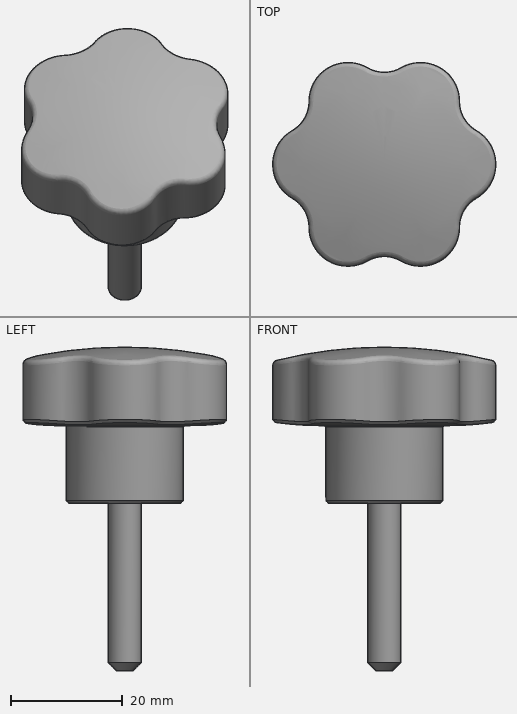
import cadquery as cq
import math

pin_diameter = 6.0
pin_length = 30.0
pin_tip_chamfer = 1.5

hub_diameter = 21.0
hub_chamfer = 0.5
hub_root_fillet = 0.2

overall_height = 58.0
grip_diameter = 40.0
lobe_count = 6
lobe_radius = 7.0
valley_radius = 6.0
dome_radius = 80.0
dome_edge_fillet = 1.0
underside_height = 43.87
underside_radius = 65.0
underside_chamfer = 0.5

pin_radius = pin_diameter / 2
hub_radius = hub_diameter / 2
hub_root_radius = hub_radius + hub_root_fillet
grip_radius = grip_diameter / 2
lobe_center_radius = grip_radius - lobe_radius
half_pitch = math.pi / lobe_count
valley_center_radius = lobe_center_radius * math.cos(half_pitch) + math.sqrt(
    (lobe_radius + valley_radius) ** 2 - (lobe_center_radius * math.sin(half_pitch)) ** 2
)
valley_floor_radius = valley_center_radius - valley_radius


def polar(radius, angle):
    """Cartesian point at the given radius and angle about the axis."""
    return (radius * math.cos(angle), radius * math.sin(angle))


def tangent_point(lobe_angle, valley_angle):
    """Point where a lobe arc meets the valley arc next to it."""
    lobe_x, lobe_y = polar(lobe_center_radius, lobe_angle)
    valley_x, valley_y = polar(valley_center_radius, valley_angle)
    fraction = lobe_radius / (lobe_radius + valley_radius)
    return (lobe_x + fraction * (valley_x - lobe_x), lobe_y + fraction * (valley_y - lobe_y))


def make_lobed_prism():
    """Full-height prism with the grip outline: lobe and valley arcs in turn."""
    outline = cq.Workplane("XY").moveTo(*tangent_point(0, -half_pitch))
    for index in range(lobe_count):
        lobe_angle = 2 * index * half_pitch
        valley_angle = lobe_angle + half_pitch
        next_lobe_angle = valley_angle + half_pitch
        outline = outline.threePointArc(
            polar(grip_radius, lobe_angle), tangent_point(lobe_angle, valley_angle)
        )
        outline = outline.threePointArc(
            polar(valley_floor_radius, valley_angle),
            tangent_point(next_lobe_angle, valley_angle),
        )
    return outline.close().extrude(overall_height)


def make_turned_blank():
    """Grip blank: domed top, and an underside that curves up away from a small root fillet."""
    blank_radius = grip_radius + lobe_radius
    dome_rim_height = overall_height - dome_radius + math.sqrt(dome_radius**2 - blank_radius**2)
    underside_rise = underside_radius - math.sqrt(
        underside_radius**2 - (blank_radius - hub_root_radius) ** 2
    )
    return (
        cq.Workplane("YZ")
        .moveTo(0, underside_height - hub_root_fillet)
        .lineTo(hub_radius, underside_height - hub_root_fillet)
        .radiusArc((hub_root_radius, underside_height), hub_root_fillet)
        .radiusArc((blank_radius, underside_height + underside_rise), -underside_radius)
        .lineTo(blank_radius, dome_rim_height)
        .radiusArc((0, overall_height), -dome_radius)
        .close()
        .revolve(360, (0, 0, 0), (0, 1, 0))
    )


def edge_follows_outline(edge):
    """True for edges that run along the lobes and valleys, false for upright and seam edges."""
    center = edge.Center()
    box = edge.BoundingBox()
    is_on_outline = math.hypot(center.x, center.y) >= valley_floor_radius
    is_upright = box.zlen > max(box.xlen, box.ylen)
    return is_on_outline and not is_upright


def make_grip():
    middle_height = (underside_height + overall_height) / 2
    blank = make_turned_blank().intersect(make_lobed_prism())
    dome_edges = blank.edges().filter(
        lambda edge: edge_follows_outline(edge) and edge.Center().z > middle_height
    )
    rounded = dome_edges.fillet(dome_edge_fillet)
    underside_edges = rounded.edges().filter(
        lambda edge: edge_follows_outline(edge) and edge.Center().z < middle_height
    )
    return underside_edges.chamfer(underside_chamfer)


def make_hub():
    return (
        cq.Workplane("XY", origin=(0, 0, pin_length))
        .circle(hub_radius)
        .extrude(underside_height - hub_root_fillet - pin_length)
        .faces("<Z")
        .chamfer(hub_chamfer)
    )


def make_pin():
    return (
        cq.Workplane("XY")
        .circle(pin_radius)
        .extrude(pin_length)
        .faces("<Z")
        .chamfer(pin_tip_chamfer)
    )


result = make_grip().union(make_hub()).union(make_pin())